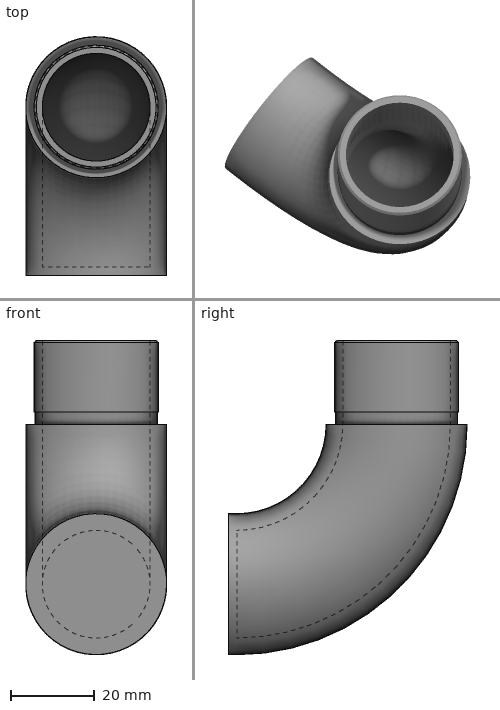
import cadquery as cq

total_height = 75.0
elbow_diameter = 33.7
spigot_diameter = 29.6
groove_diameter = 29.2
bore_diameter = 25.7
spigot_length = 20.0
groove_length = 3.0
rim_chamfer = 0.5
cap_thickness = 2.0

bend_radius = total_height - spigot_length - elbow_diameter / 2


def disc(diameter, height, base_z=0):
    return cq.Workplane("XY").workplane(offset=base_z).circle(diameter / 2).extrude(height)


def quarter_bend(diameter):
    """Quarter torus from the shoulder plane down to the closed end."""
    return (
        cq.Workplane("XY")
        .circle(diameter / 2)
        .revolve(90, (0, -bend_radius, 0), (-1, -bend_radius, 0))
    )


def end_cap():
    return (
        cq.Workplane("XZ", origin=(0, -bend_radius, -bend_radius))
        .circle(elbow_diameter / 2)
        .extrude(cap_thickness)
    )


def spigot():
    groove = disc(groove_diameter, groove_length)
    sleeve = disc(spigot_diameter, spigot_length - groove_length, groove_length)
    return groove.union(sleeve.faces(">Z").edges().chamfer(rim_chamfer))


bore = disc(bore_diameter, spigot_length).union(quarter_bend(bore_diameter))

result = quarter_bend(elbow_diameter).union(end_cap()).union(spigot()).cut(bore)